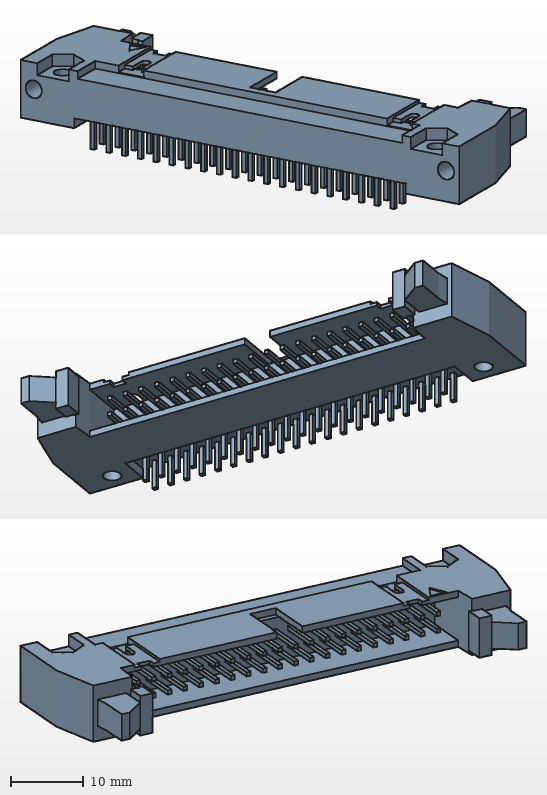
import cadquery as cq
import math


LENGTH = 70.4
HEIGHT = 8.5
MOUTH_Y = 13.7
TOWER_Y = 17.2
TAPER_START_Y = 10.0
TOWER_OUTER_X = 33.45
TOWER_INNER_X = 27.25
TOWER_ROOT_X = 27.0

WALL = 1.0
CAVITY_BACK_Y = 7.25

COLUMNS = 20
PITCH = 2.5
PIN_WIDTH = 0.6
TAIL_LENGTH = 2.9
PIN_TIP_Y = 13.4
REAR_TAIL_Y = 1.0
FIRST_PIN_X = -PITCH * (COLUMNS - 1) / 2

LEDGE_HALF_LENGTH = 26.05
LEDGE_WIDTH = 4.85
LEDGE_DEPTH = 1.1
UNDERCUT_LENGTH = 53.2
UNDERCUT_DEPTH = 1.5

CHANNEL_X = [FIRST_PIN_X + 1.5 * PITCH, FIRST_PIN_X + 18.5 * PITCH]
CHANNEL_WIDTH = 4.0
CHANNEL_DEPTH = 0.4
CHANNEL_STEP_Y = 6.55
SLOT_WIDTH = 1.4
SLOT_TIP_Y = 9.6
NICK_WIDTH = 2.0
NICK_LENGTH = 1.05

KEY_WIDTH = 4.1
KEY_BACK_Y = 6.35

MARK_WIDTH = 2.6
MARK_BASE_Y = 13.4
MARK_TIP_Y = 10.85
MARK_DEPTH = 0.2

HOLE_DIAMETER = 2.6
MOUNT_X = 30.0
MOUNT_Y = 2.75
NUT_ACROSS_FLATS = 5.1
NUT_DEPTH = 1.75
REAR_HOLE_X = 33.1
REAR_HOLE_Z = 4.6
REAR_HOLE_DEPTH = 5.6

LATCH_TIP_Y = 23.3
LATCH_THICKNESS = 4.0
LATCH_OUTER_X = 32.45
LATCH_ROOT_X = 32.75
LATCH_INNER_X = 28.15
LATCH_TIP_INNER_X = 31.1
LATCH_ROOT_TAPER_Y = 19.1
HOOK_TIP_X = 26.2
HOOK_LIP_X = 26.9
HOOK_TOP_Y = 21.05
HOOK_BOTTOM_Y = 18.4
HOOK_LIP_Y = 18.15
HOOK_HEIGHT = 6.0


def box(x0, x1, y0, y1, z0, z1):
    """Box between two opposite corners."""
    return cq.Workplane("XY").box(x1 - x0, y1 - y0, z1 - z0, centered=False).translate((x0, y0, z0))


def prism(points, z0, z1):
    """Closed outline in the XY plane raised from z0 to z1."""
    return cq.Workplane("XY").workplane(offset=z0).polyline(points).close().extrude(z1 - z0)


def both_ends(shape):
    """The shape together with its mirror image at the other end of the part."""
    return shape.union(shape.mirror("YZ"))


def body():
    right_side = [
        (LENGTH / 2, 0),
        (LENGTH / 2, TAPER_START_Y),
        (TOWER_OUTER_X, TOWER_Y),
        (TOWER_INNER_X, TOWER_Y),
        (TOWER_ROOT_X, MOUTH_Y),
    ]
    left_side = [(-x, y) for x, y in reversed(right_side)]
    block = prism(right_side + left_side, 0, HEIGHT)
    cavity = box(-TOWER_ROOT_X, TOWER_ROOT_X, CAVITY_BACK_Y, MOUTH_Y, WALL, HEIGHT - WALL)
    ledge = box(-LEDGE_HALF_LENGTH, LEDGE_HALF_LENGTH, 0, LEDGE_WIDTH, HEIGHT - LEDGE_DEPTH, HEIGHT)
    undercut = box(-UNDERCUT_LENGTH / 2, UNDERCUT_LENGTH / 2, 0, LEDGE_WIDTH, 0, UNDERCUT_DEPTH)
    return block.cut(cavity).cut(ledge).cut(undercut)


def channel(x):
    """Channel across the top wall with its round-ended slot and the nick at the mouth."""
    half = CHANNEL_WIDTH / 2
    floor_z = HEIGHT - WALL
    slot_radius = SLOT_WIDTH / 2
    slot_end_y = SLOT_TIP_Y - slot_radius
    shallow = box(x - half, x + half, LEDGE_WIDTH, MOUTH_Y, HEIGHT - CHANNEL_DEPTH, HEIGHT)
    deep = box(x - half, x + half, LEDGE_WIDTH, CHANNEL_STEP_Y, floor_z, HEIGHT)
    slot = box(x - slot_radius, x + slot_radius, CHANNEL_STEP_Y, slot_end_y, floor_z, HEIGHT)
    slot_end = cq.Workplane("XY", origin=(x, slot_end_y, floor_z)).circle(slot_radius).extrude(WALL)
    nick = box(x - NICK_WIDTH / 2, x + NICK_WIDTH / 2, MOUTH_Y - NICK_LENGTH, MOUTH_Y, floor_z, HEIGHT)
    return shallow.union(deep).union(slot).union(slot_end).union(nick)


def key_slot():
    return box(-KEY_WIDTH / 2, KEY_WIDTH / 2, KEY_BACK_Y, MOUTH_Y, HEIGHT - WALL, HEIGHT)


def pin_one_mark():
    corners = [
        (FIRST_PIN_X - MARK_WIDTH / 2, MARK_BASE_Y),
        (FIRST_PIN_X + MARK_WIDTH / 2, MARK_BASE_Y),
        (FIRST_PIN_X, MARK_TIP_Y),
    ]
    return prism(corners, HEIGHT - MARK_DEPTH, HEIGHT)


def mounting_cuts():
    """Through hole, nut pocket open to the rear face, and blind rear hole, at both ends."""
    hole = cq.Workplane("XY", origin=(MOUNT_X, MOUNT_Y, 0)).circle(HOLE_DIAMETER / 2).extrude(HEIGHT)
    half = NUT_ACROSS_FLATS / 2
    corner_radius = NUT_ACROSS_FLATS / math.sqrt(3)
    shoulder_y = MOUNT_Y + corner_radius / 2
    pocket_outline = [
        (MOUNT_X - half, 0),
        (MOUNT_X + half, 0),
        (MOUNT_X + half, shoulder_y),
        (MOUNT_X, MOUNT_Y + corner_radius),
        (MOUNT_X - half, shoulder_y),
    ]
    pocket = prism(pocket_outline, HEIGHT - NUT_DEPTH, HEIGHT)
    rear_hole = (
        cq.Workplane("XZ", origin=(REAR_HOLE_X, 0, REAR_HOLE_Z))
        .circle(HOLE_DIAMETER / 2)
        .extrude(-REAR_HOLE_DEPTH)
    )
    return both_ends(hole.union(pocket).union(rear_hole))


def latches():
    arm_outline = [
        (LATCH_ROOT_X, TOWER_Y),
        (LATCH_OUTER_X, LATCH_ROOT_TAPER_Y),
        (LATCH_OUTER_X, LATCH_TIP_Y),
        (LATCH_TIP_INNER_X, LATCH_TIP_Y),
        (LATCH_INNER_X, HOOK_TOP_Y),
        (LATCH_INNER_X, TOWER_Y),
    ]
    hook_outline = [
        (LATCH_INNER_X, HOOK_TOP_Y),
        (HOOK_TIP_X, HOOK_TOP_Y),
        (HOOK_TIP_X, HOOK_LIP_Y),
        (HOOK_LIP_X, HOOK_LIP_Y),
        (HOOK_LIP_X, HOOK_BOTTOM_Y),
        (LATCH_INNER_X, HOOK_BOTTOM_Y),
    ]
    middle = HEIGHT / 2
    arm = prism(arm_outline, middle - LATCH_THICKNESS / 2, middle + LATCH_THICKNESS / 2)
    hook = prism(hook_outline, middle - HOOK_HEIGHT / 2, middle + HOOK_HEIGHT / 2)
    return both_ends(arm.union(hook))


def bent_pin(x, tail_y, contact_z):
    """Square pin: a tail below the body, bent at right angles into the cavity."""
    half = PIN_WIDTH / 2
    tail = box(x - half, x + half, tail_y - half, tail_y + half, -TAIL_LENGTH, contact_z + half)
    contact = box(x - half, x + half, tail_y - half, PIN_TIP_Y, contact_z - half, contact_z + half)
    return tail.union(contact)


def pins():
    """Both pin rows; the rear row of tails serves the upper row of contacts."""
    shapes = []
    for column in range(COLUMNS):
        x = FIRST_PIN_X + column * PITCH
        shapes.append(bent_pin(x, REAR_TAIL_Y, (HEIGHT + PITCH) / 2))
        shapes.append(bent_pin(x, REAR_TAIL_Y + PITCH, (HEIGHT - PITCH) / 2))
    return shapes


result = body().cut(key_slot()).cut(pin_one_mark()).cut(mounting_cuts())
for channel_x in CHANNEL_X:
    result = result.cut(channel(channel_x))
result = result.union(latches())
for pin in pins():
    result = result.union(pin)